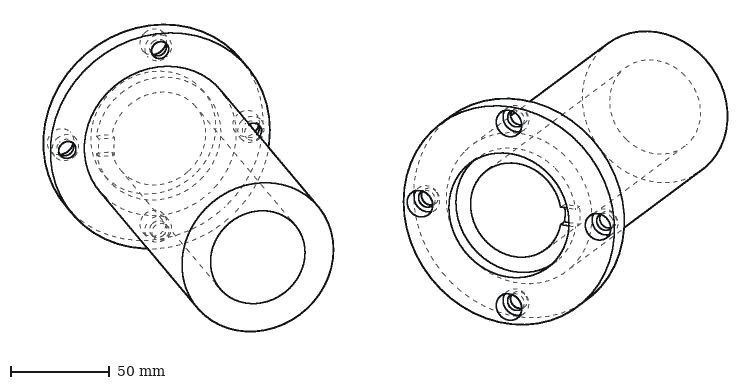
import cadquery as cq

length = 192.0
flange_diameter = 116.0
flange_thickness = 13.0
tube_diameter = 80.0
bore_diameter = 50.0

recess_diameter = 66.0
recess_depth = 9.2
notch_width = 9.5
notch_depth = 5.0

bolt_count = 4
bolt_circle_diameter = 98.0
bolt_hole_diameter = 9.0
counterbore_diameter = 14.0
counterbore_depth = 9.0

flange_face_x = -length / 2


def cylinder(diameter, start_x, depth):
    """Cylinder on the X axis, running toward +X from start_x."""
    return cq.Workplane("YZ", origin=(start_x, 0, 0)).circle(diameter / 2).extrude(depth)


def flanged_tube():
    flange = cylinder(flange_diameter, flange_face_x, flange_thickness)
    tube = cylinder(tube_diameter, flange_face_x, length)
    bore = cylinder(bore_diameter, flange_face_x, length)
    recess = cylinder(recess_diameter, flange_face_x, recess_depth)
    return flange.union(tube).cut(bore).cut(recess)


def notch():
    """Radial notch on the -Y side, from the bore out to the recess wall."""
    notch_bottom_depth = recess_depth + notch_depth
    block = cq.Workplane("XY").box(
        notch_bottom_depth, recess_diameter / 2, notch_width, centered=(False, False, True)
    )
    block = block.translate((flange_face_x, -recess_diameter / 2, 0))
    return block.intersect(cylinder(recess_diameter, flange_face_x, notch_bottom_depth))


def drill_bolt_holes(body):
    return (
        body.faces("<X")
        .workplane(origin=(flange_face_x, 0, 0))
        .polarArray(bolt_circle_diameter / 2, 0, 360, bolt_count)
        .cboreHole(bolt_hole_diameter, counterbore_diameter, counterbore_depth, depth=flange_thickness)
    )


result = drill_bolt_holes(flanged_tube().cut(notch()))